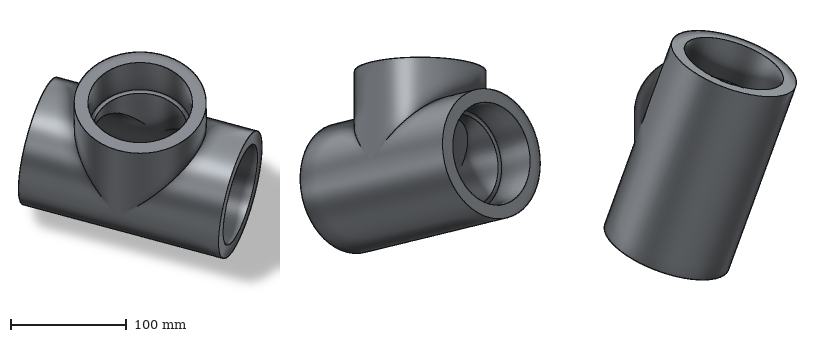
import cadquery as cq

run_length = 183.0
outer_diameter = 114.0
socket_diameter = 90.0
bore_diameter = 82.0
socket_depth = 36.6
overall_height = 145.0

run_half_length = run_length / 2
branch_height = overall_height - outer_diameter / 2


def run_cylinder(diameter, start_x, length):
    """Cylinder on the run axis, extending from start_x toward +X."""
    return cq.Workplane("YZ", origin=(start_x, 0, 0)).circle(diameter / 2).extrude(length)


def branch_cylinder(diameter, start_z, length):
    """Cylinder on the branch axis, extending from start_z toward +Z."""
    return cq.Workplane("XY", origin=(0, 0, start_z)).circle(diameter / 2).extrude(length)


body = run_cylinder(outer_diameter, -run_half_length, run_length)
body = body.union(branch_cylinder(outer_diameter, 0, branch_height))

body = body.cut(run_cylinder(bore_diameter, -run_half_length, run_length))
body = body.cut(branch_cylinder(bore_diameter, 0, branch_height))

for socket_start in (-run_half_length, run_half_length - socket_depth):
    body = body.cut(run_cylinder(socket_diameter, socket_start, socket_depth))
body = body.cut(branch_cylinder(socket_diameter, branch_height - socket_depth, socket_depth))

result = body